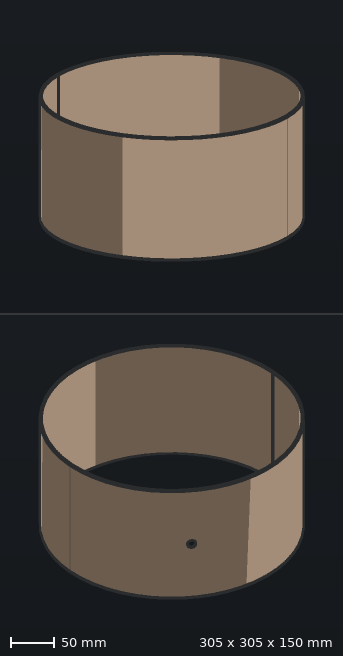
import cadquery as cq

outer_diameter = 305.0
height = 150.0
wall = 2.5
outer_bevel_height = 1.8
inner_bevel_height = 1.0
bevel_depth = 0.5
slit_width = 2.5
hole_diameter = 10.0
hole_angle = 59.0

outer_radius = outer_diameter / 2
inner_radius = outer_radius - wall
half_height = height / 2


def make_band():
    """Thin ring with its top and bottom edges bevelled inside and out, centred on the origin."""
    outer_rim_radius = outer_radius - bevel_depth
    inner_rim_radius = inner_radius + bevel_depth
    outer_bevel_start = half_height - outer_bevel_height
    inner_bevel_start = half_height - inner_bevel_height
    profile = (
        cq.Workplane("XZ")
        .moveTo(inner_rim_radius, -half_height)
        .lineTo(outer_rim_radius, -half_height)
        .lineTo(outer_radius, -outer_bevel_start)
        .lineTo(outer_radius, outer_bevel_start)
        .lineTo(outer_rim_radius, half_height)
        .lineTo(inner_rim_radius, half_height)
        .lineTo(inner_radius, inner_bevel_start)
        .lineTo(inner_radius, -inner_bevel_start)
        .close()
    )
    return profile.revolve(360, (0, 0, 0), (0, 1, 0))


def make_slit():
    """Full-height cut through the wall on the -X side, with one face on the XZ plane."""
    return cq.Workplane("XY").box(
        outer_radius, slit_width, height, centered=(False, False, True)
    ).translate((-outer_radius, 0, 0))


def make_hole():
    """Radial pin through one side of the wall at mid height."""
    pin = cq.Workplane("YZ").circle(hole_diameter / 2).extrude(outer_diameter)
    return pin.rotate((0, 0, 0), (0, 0, 1), hole_angle)


result = make_band().cut(make_slit()).cut(make_hole())